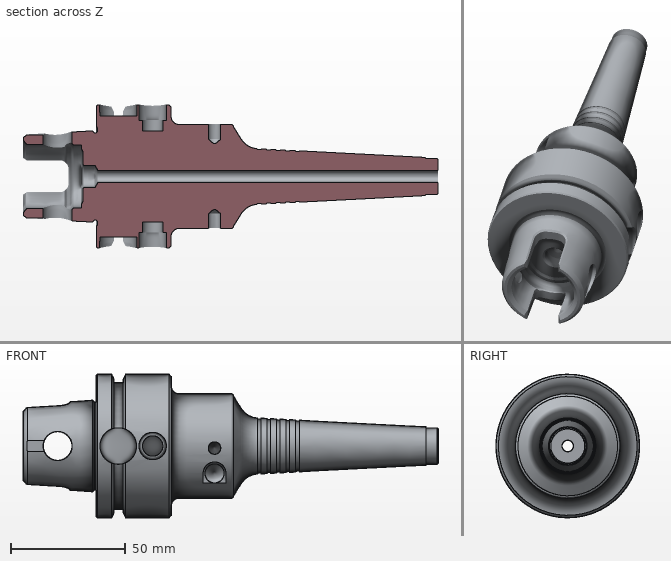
import cadquery as cq
import math


SHANK_LENGTH = 32.0
SHANK_ROOT_RADIUS = 20.2
SHANK_TAPER = 0.055
SHANK_CHAMFER_LENGTH = 1.8
SHANK_CHAMFER_DEPTH = 1.5
RELIEF_RADIUS = 19.3
RELIEF_LENGTH = 1.6
FACE_RECESS_RADIUS = 21.8
FACE_RECESS_DEPTH = 0.5

BORE_MOUTH_RADIUS = 15.8
BORE_RADIUS = 14.0
BORE_MOUTH_LENGTH = 1.5
CLAMP_RECESS_RADIUS = 15.0
CLAMP_RECESS_START = 19.1
CLAMP_RECESS_END = 21.0
SEAT_RADIUS = 13.6
SEAT_DEPTH = 25.5
FLOOR_CONE_RADIUS = 24.4 / 2
FLOOR_RADIUS = 11.1
FLOOR_DEPTH = 26.0
SINK_RADIUS = 11.0 / 2
DRILL_RADIUS = 9.3 / 2
DRILL_DEPTH = 5.5
DRILL_POINT_HALF_ANGLE = math.radians(59)
THROUGH_RADIUS = 5.0 / 2

SLOT_WIDTH = 14.0
SLOT_LENGTH = 20.0
SLOT_CORNER_RADIUS = 4.0
SLOT_CHAMFER = 0.7
SLOT_FLARE_LENGTH = 1.6
SLOT_FLARE_WIDTH = 1.1
CLAMP_HOLE_DIAMETER = 12.5
CLAMP_HOLE_X = 15.1 - SHANK_LENGTH
FLAT_WIDTH = 5.0
FLAT_DISTANCE = 18.4

FLANGE_RADIUS = 63.0 / 2
FLANGE_LENGTH = 33.0
FLANGE_FRONT_CHAMFER = 0.5
FLANGE_BACK_CHAMFER = 1.1
GROOVE_RADIUS = 27.8
GROOVE_START = 7.8
GROOVE_END = 11.8
GROOVE_CHAMFER_LENGTH = 1.1
GROOVE_CHAMFER_DEPTH = 2.2
POCKET_DIAMETER = 16.0
POCKET_X = 9.6
POCKET_FLOOR = 26.5
THREAD_X = 24.8
THREAD_MOUTH_DIAMETER = 12.0
THREAD_DIAMETER = 9.0
THREAD_STEP_FLOOR = 24.5
THREAD_FLOOR = 20.0

BODY_RADIUS = 23.0
BODY_END = 60.2
BODY_ROUND = 1.1
BODY_FILLET = 3.3
BODY_HOLE_X = 51.9
PIN_HOLE_DIAMETER = 5.5
PIN_HOLE_Z = 1.0
PIN_HOLE_FLOOR = 16.4
SCREW_DIAMETER = 10.0
SCREW_Z = 12.0
SCREW_FLOOR = 16.2
DISH_DIAMETER = 8.4
DISH_DEPTH = 1.5
SOCKET_DIAMETER = 5.0
SOCKET_DEPTH = 2.2

CONE_END_X = 63.5
CONE_END_RADIUS = 16.5
STALK_START_X = 69.9
STALK_TAPER = math.radians(3)
TIP_X = 150.0
TIP_RADIUS = 16.0 / 2
TIP_LENGTH = 5.5
TIP_CHAMFER = 0.5
TAPER_END_RADIUS = 17.0 / 2
RING_COUNT = 5
RING_START = 70.6
RING_PITCH = 4.2
RING_WIDTH = 1.6
RING_DEPTH = 0.4

BIG = 72.8


def shank_radius(x):
    return SHANK_ROOT_RADIUS + SHANK_TAPER * x


def stalk_radius(x):
    return TAPER_END_RADIUS + (TIP_X - TIP_LENGTH - x) * math.tan(STALK_TAPER)


def turned_outside():
    """The whole outer shape, revolved about the X axis."""
    chamfer_x = SHANK_CHAMFER_LENGTH - SHANK_LENGTH
    recess_mid_radius = (RELIEF_RADIUS + FACE_RECESS_RADIUS) / 2
    lip_radius = FLANGE_RADIUS - GROOVE_CHAMFER_DEPTH
    fillet_mid = BODY_FILLET * (1 - math.sqrt(0.5))
    stalk_start_radius = stalk_radius(STALK_START_X)
    outline = (
        cq.Workplane("XY")
        .moveTo(-SHANK_LENGTH, 0)
        .lineTo(-SHANK_LENGTH, shank_radius(chamfer_x) - SHANK_CHAMFER_DEPTH)
        .lineTo(chamfer_x, shank_radius(chamfer_x))
        .lineTo(-RELIEF_LENGTH, shank_radius(-RELIEF_LENGTH))
        .lineTo(-RELIEF_LENGTH / 2, RELIEF_RADIUS)
        .lineTo(0, RELIEF_RADIUS)
        .threePointArc((FACE_RECESS_DEPTH, recess_mid_radius), (0, FACE_RECESS_RADIUS))
        .lineTo(0, FLANGE_RADIUS - FLANGE_FRONT_CHAMFER)
        .lineTo(FLANGE_FRONT_CHAMFER, FLANGE_RADIUS)
        .lineTo(GROOVE_START - GROOVE_CHAMFER_LENGTH, FLANGE_RADIUS)
        .lineTo(GROOVE_START, lip_radius)
        .lineTo(GROOVE_START, GROOVE_RADIUS)
        .lineTo(GROOVE_END, GROOVE_RADIUS)
        .lineTo(GROOVE_END, lip_radius)
        .lineTo(GROOVE_END + GROOVE_CHAMFER_LENGTH, FLANGE_RADIUS)
        .lineTo(FLANGE_LENGTH - FLANGE_BACK_CHAMFER, FLANGE_RADIUS)
        .lineTo(FLANGE_LENGTH, FLANGE_RADIUS - FLANGE_BACK_CHAMFER)
        .lineTo(FLANGE_LENGTH, BODY_RADIUS + BODY_FILLET)
        .threePointArc(
            (FLANGE_LENGTH + fillet_mid, BODY_RADIUS + fillet_mid),
            (FLANGE_LENGTH + BODY_FILLET, BODY_RADIUS),
        )
        .lineTo(BODY_END - BODY_ROUND, BODY_RADIUS)
        .tangentArcPoint((BODY_END, BODY_RADIUS - BODY_ROUND), relative=False)
        .lineTo(CONE_END_X, CONE_END_RADIUS)
        .tangentArcPoint((STALK_START_X, stalk_start_radius), relative=False)
        .lineTo(TIP_X - TIP_LENGTH, TAPER_END_RADIUS)
        .lineTo(TIP_X - TIP_LENGTH, TIP_RADIUS)
        .lineTo(TIP_X - TIP_CHAMFER, TIP_RADIUS)
        .lineTo(TIP_X, TIP_RADIUS - TIP_CHAMFER)
        .lineTo(TIP_X, 0)
        .close()
    )
    return outline.revolve(360, (0, 0, 0), (1, 0, 0))


def stalk_ring(start):
    """A shallow turned groove that follows the taper of the stalk."""
    end = start + RING_WIDTH
    profile = (
        cq.Workplane("XY")
        .moveTo(start, stalk_radius(start) - RING_DEPTH)
        .lineTo(end, stalk_radius(end) - RING_DEPTH)
        .lineTo(end, stalk_radius(end) + RING_DEPTH)
        .lineTo(start, stalk_radius(start) + RING_DEPTH)
        .close()
    )
    return profile.revolve(360, (0, 0, 0), (1, 0, 0))


def stepped_bore():
    """The bore from the shank mouth down to its floor, and the hole through to the tip."""
    mouth = -SHANK_LENGTH
    recess_step = CLAMP_RECESS_RADIUS - BORE_RADIUS
    sink_end = mouth + FLOOR_DEPTH + SINK_RADIUS - DRILL_RADIUS
    drill_end = mouth + FLOOR_DEPTH + DRILL_DEPTH
    drill_point = (DRILL_RADIUS - THROUGH_RADIUS) / math.tan(DRILL_POINT_HALF_ANGLE)
    profile = (
        cq.Workplane("XY")
        .moveTo(mouth, 0)
        .lineTo(mouth, BORE_MOUTH_RADIUS)
        .lineTo(mouth + BORE_MOUTH_LENGTH, BORE_RADIUS)
        .lineTo(mouth + CLAMP_RECESS_START - recess_step, BORE_RADIUS)
        .lineTo(mouth + CLAMP_RECESS_START, CLAMP_RECESS_RADIUS)
        .lineTo(mouth + CLAMP_RECESS_END, CLAMP_RECESS_RADIUS)
        .lineTo(mouth + CLAMP_RECESS_END + CLAMP_RECESS_RADIUS - SEAT_RADIUS, SEAT_RADIUS)
        .lineTo(mouth + SEAT_DEPTH, SEAT_RADIUS)
        .lineTo(mouth + SEAT_DEPTH, FLOOR_CONE_RADIUS)
        .lineTo(mouth + FLOOR_DEPTH, FLOOR_RADIUS)
        .lineTo(mouth + FLOOR_DEPTH, SINK_RADIUS)
        .lineTo(sink_end, DRILL_RADIUS)
        .lineTo(drill_end, DRILL_RADIUS)
        .lineTo(drill_end + drill_point, THROUGH_RADIUS)
        .lineTo(TIP_X, THROUGH_RADIUS)
        .lineTo(TIP_X, 0)
        .close()
    )
    return profile.revolve(360, (0, 0, 0), (1, 0, 0))


def cut_drive_slots(part):
    """Opens the shank at +Z and -Z: flared at the mouth, rounded at the inner end, edges chamfered."""
    half_width = SLOT_WIDTH / 2
    mouth = -SHANK_LENGTH
    flare_end = mouth + SLOT_FLARE_LENGTH
    slot_end = mouth + SLOT_LENGTH
    cutter = (
        cq.Workplane("XY")
        .moveTo(mouth, -half_width - SLOT_FLARE_WIDTH)
        .lineTo(flare_end, -half_width)
        .lineTo(slot_end, -half_width)
        .lineTo(slot_end, half_width)
        .lineTo(flare_end, half_width)
        .lineTo(mouth, half_width + SLOT_FLARE_WIDTH)
        .close()
        .extrude(BIG, both=True)
        .edges("|Z and >X")
        .fillet(SLOT_CORNER_RADIUS)
    )
    part = part.cut(cutter)
    edge_clearance = 0.2
    mid_wall = (BORE_RADIUS + SHANK_ROOT_RADIUS) / 2
    for side in (1, -1):
        rim = cq.selectors.BoxSelector(
            (flare_end + edge_clearance, -half_width - edge_clearance, side * mid_wall),
            (slot_end + edge_clearance, half_width + edge_clearance, side * SHANK_ROOT_RADIUS),
        )
        part = part.edges(rim).chamfer(SLOT_CHAMFER)
    return part


def front_hole(x, z, diameter, floor):
    """A round cutter entering from -Y, ending flat at the given distance from the axis."""
    return cq.Workplane("XZ", origin=(x, -floor, z)).circle(diameter / 2).extrude(BIG)


def front_box(x, z, length, height, floor):
    """A rectangular cutter entering from -Y, ending flat at the given distance from the axis."""
    return cq.Workplane("XZ", origin=(x, -floor, z)).rect(length, height).extrude(BIG)


def front_cone(x, z, diameter, end_diameter, start, depth):
    """A conical cutter on the -Y side, running inward from the given distance from the axis."""
    centre = cq.Vector(x, -start, z)
    inward = cq.Vector(0, 1, 0)
    return cq.Workplane(cq.Solid.makeCone(diameter / 2, end_diameter / 2, depth, centre, inward))


def side_cuts():
    """Everything machined from -Y; the +Y side carries the same cuts turned half round."""
    flat_length = CLAMP_HOLE_X + SHANK_LENGTH
    flat_x = CLAMP_HOLE_X - flat_length / 2
    run_out_z = -SCREW_Z - BODY_RADIUS / 2
    dish_floor = SCREW_FLOOR - DISH_DEPTH
    pin_point = PIN_HOLE_DIAMETER / 2
    return (
        front_box(flat_x, 0, flat_length, FLAT_WIDTH, FLAT_DISTANCE)
        .union(front_hole(CLAMP_HOLE_X, 0, CLAMP_HOLE_DIAMETER, 0))
        .union(front_hole(POCKET_X, 0, POCKET_DIAMETER, POCKET_FLOOR))
        .union(front_hole(THREAD_X, 0, THREAD_MOUTH_DIAMETER, THREAD_STEP_FLOOR))
        .union(front_hole(THREAD_X, 0, THREAD_DIAMETER, THREAD_FLOOR))
        .union(front_hole(BODY_HOLE_X, -PIN_HOLE_Z, PIN_HOLE_DIAMETER, PIN_HOLE_FLOOR))
        .union(front_hole(BODY_HOLE_X, -SCREW_Z, SCREW_DIAMETER, SCREW_FLOOR))
        .union(front_box(BODY_HOLE_X, run_out_z, SCREW_DIAMETER, BODY_RADIUS, SCREW_FLOOR))
        .union(front_cone(BODY_HOLE_X, -PIN_HOLE_Z, PIN_HOLE_DIAMETER, 0, PIN_HOLE_FLOOR, pin_point))
        .union(front_cone(BODY_HOLE_X, -SCREW_Z, DISH_DIAMETER, SOCKET_DIAMETER, SCREW_FLOOR, DISH_DEPTH))
        .union(front_cone(BODY_HOLE_X, -SCREW_Z, SOCKET_DIAMETER, 0, dish_floor, SOCKET_DEPTH))
    )


result = turned_outside()
for ring in range(RING_COUNT):
    result = result.cut(stalk_ring(RING_START + ring * RING_PITCH))
result = cut_drive_slots(result.cut(stepped_bore()))
for turn in (0, 180):
    result = result.cut(side_cuts().rotate((0, 0, 0), (1, 0, 0), turn))